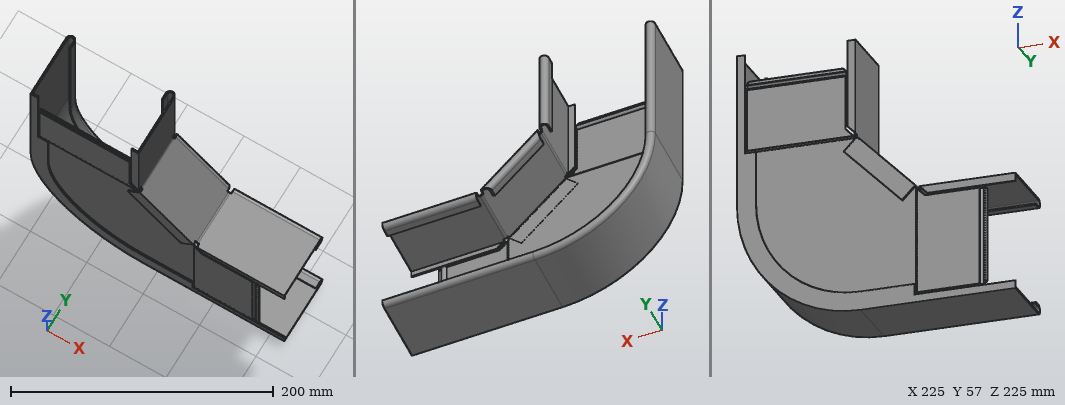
import cadquery as cq
import math


TRAY_LENGTH = 225.0
TRAY_HEIGHT = 57.0
TRAY_WIDTH = 95.8
SHEET = 1.4
PLATE_SHEET = 1.0
ELBOW_RADIUS = 100.0

CURL_RADIUS = 3.8
LIP_DEPTH = 10.0
LEG_FLANGE = 6.5
ELBOW_FLANGE = 15.3
FLANGE_STEP = 143.3

BEND_POSITION = 145.5
BEND_RADIUS = 1.8
LEG_START = 147.4
DIAGONAL_HALF = 33.3
LIP_SETBACK = 4.7
RELIEF_BOTTOM = 3.5
RELIEF_TOP = 5.6

TONGUE_MARGIN = 8.0
TONGUE_END = 202.5
TONGUE_CORNER = 3.0
JOGGLE_START = 144.0
JOGGLE_LENGTH = 1.4
BEAD_CENTRE = 198.0
BEAD_RADIUS = 1.4
BEAD_DEPTH = 1.8
FLARE_SIZE = 6.5

CURL_CENTRE = TRAY_HEIGHT - CURL_RADIUS
CURL_INNER_RADIUS = CURL_RADIUS - SHEET
FLARE_START = JOGGLE_START + JOGGLE_LENGTH
DIAGONAL_SUM = TRAY_WIDTH + BEND_POSITION
BEND_TURN = math.radians(45)
BEND_SHIFT = SHEET * math.tan(BEND_TURN / 2)
DIAGONAL_SHIFT = SHEET / math.sin(BEND_TURN)
MIRROR_NORMAL = cq.Vector(1, 0, -1)


def wall_profile(origin, inward, flange):
    """Wall cross-section: outline distances run inward from the wall's outer face, and along +Y."""
    plane = cq.Plane(origin=origin, xDir=inward, normal=inward.cross(cq.Vector(0, 1, 0)))
    lip_outside = 2 * CURL_RADIUS
    lip_inside = lip_outside - SHEET
    lip_end = TRAY_HEIGHT - LIP_DEPTH
    return (
        cq.Workplane(plane)
        .moveTo(0, 0)
        .lineTo(0, CURL_CENTRE)
        .threePointArc((CURL_RADIUS, TRAY_HEIGHT), (lip_outside, CURL_CENTRE))
        .lineTo(lip_outside, lip_end)
        .lineTo(lip_inside, lip_end)
        .lineTo(lip_inside, CURL_CENTRE)
        .threePointArc((CURL_RADIUS, CURL_CENTRE + CURL_INNER_RADIUS), (SHEET, CURL_CENTRE))
        .lineTo(SHEET, SHEET)
        .lineTo(flange, SHEET)
        .lineTo(flange, 0)
        .close()
    )


def plan(height):
    """Workplane at the given Y whose local axes are X and Z; a negative extrusion goes along +Y."""
    return cq.Workplane("XZ", origin=(0, height, 0))


def add_mirrored_leg(z_leg):
    """Join a body on the Z leg with its mirror image on the X leg, across the plane X = Z."""
    return z_leg.union(z_leg.mirror(MIRROR_NORMAL))


def make_outer_wall():
    leg_foot = (0, 0, ELBOW_RADIUS)
    inward = cq.Vector(1, 0, 0)
    narrow_leg = wall_profile(leg_foot, inward, LEG_FLANGE).extrude(TRAY_LENGTH - ELBOW_RADIUS)
    wide_leg = wall_profile(leg_foot, inward, ELBOW_FLANGE).extrude(FLANGE_STEP - ELBOW_RADIUS)
    legs = add_mirrored_leg(narrow_leg.union(wide_leg))
    elbow = wall_profile(leg_foot, inward, ELBOW_FLANGE).revolve(90, (ELBOW_RADIUS, 0), (ELBOW_RADIUS, -1))
    return legs.union(elbow)


def bent_strip():
    """Plain bent wall between the two bend reliefs, joining the legs to the diagonal."""
    inner_face = TRAY_WIDTH - SHEET
    inner_bend = BEND_POSITION - BEND_SHIFT
    strip = (
        plan(RELIEF_BOTTOM)
        .polyline([
            (TRAY_WIDTH, TRAY_LENGTH),
            (TRAY_WIDTH, BEND_POSITION),
            (BEND_POSITION, TRAY_WIDTH),
            (TRAY_LENGTH, TRAY_WIDTH),
            (TRAY_LENGTH, inner_face),
            (inner_bend, inner_face),
            (inner_face, inner_bend),
            (inner_face, TRAY_LENGTH),
        ])
        .close()
        .extrude(-(TRAY_HEIGHT - RELIEF_TOP - RELIEF_BOTTOM))
    )
    bends = (
        (TRAY_WIDTH, BEND_POSITION, BEND_RADIUS),
        (inner_face, inner_bend, BEND_RADIUS + SHEET),
    )
    for near, far, radius in bends:
        for x, z in ((near, far), (far, near)):
            corner = cq.selectors.NearestToPointSelector((x, TRAY_HEIGHT / 2, z))
            strip = strip.edges(corner).fillet(radius)
    return strip


def inner_leg():
    """Straight leg along Z with full profile; its floor flange is cut at 45 degrees at the elbow end."""
    inward = cq.Vector(-1, 0, 0)
    leg = wall_profile((TRAY_WIDTH, 0, TRAY_LENGTH), inward, LEG_FLANGE).extrude(TRAY_LENGTH - LEG_START)
    mitre = (
        plan(0)
        .polyline([
            (TRAY_WIDTH, LEG_START),
            (TRAY_WIDTH - LEG_FLANGE, LEG_START + LEG_FLANGE),
            (TRAY_WIDTH - LEG_FLANGE, LEG_START),
        ])
        .close()
        .extrude(-SHEET)
    )
    return leg.cut(mitre)


def diagonal_wall():
    """Straight run at 45 degrees with full profile; its curl slants back at both ends."""
    half_run = DIAGONAL_HALF * math.sin(BEND_TURN)
    start = cq.Vector(DIAGONAL_SUM / 2 - half_run, 0, DIAGONAL_SUM / 2 + half_run)
    inward = cq.Vector(-1, 0, -1).normalized()
    along = cq.Vector(1, 0, -1).normalized()
    diagonal = wall_profile(start, inward, ELBOW_FLANGE).extrude(2 * DIAGONAL_HALF)

    wall_corner = start + inward * SHEET
    lip_corner = start + inward * (2 * CURL_RADIUS)
    lip_end = lip_corner + along * LIP_SETBACK
    slant = (
        plan(TRAY_HEIGHT - LIP_DEPTH)
        .polyline([(point.x, point.z) for point in (wall_corner, lip_corner, lip_end)])
        .close()
        .extrude(-LIP_DEPTH)
    )
    return diagonal.cut(slant).cut(slant.mirror(MIRROR_NORMAL))


def make_inner_wall():
    return bent_strip().union(add_mirrored_leg(inner_leg())).union(diagonal_wall())


def floor_body():
    """Flat floor lying on the elbow flanges, with its outer edge in line with the tongues."""
    arc_radius = ELBOW_RADIUS - TONGUE_MARGIN
    arc_middle = ELBOW_RADIUS - arc_radius * math.sin(BEND_TURN)
    diagonal_end = DIAGONAL_SUM - DIAGONAL_SHIFT - JOGGLE_START
    return (
        plan(SHEET)
        .moveTo(TONGUE_MARGIN, JOGGLE_START)
        .lineTo(TONGUE_MARGIN, ELBOW_RADIUS)
        .threePointArc((arc_middle, arc_middle), (ELBOW_RADIUS, TONGUE_MARGIN))
        .lineTo(JOGGLE_START, TONGUE_MARGIN)
        .lineTo(JOGGLE_START, diagonal_end)
        .lineTo(diagonal_end, JOGGLE_START)
        .close()
        .extrude(-PLATE_SHEET)
    )


def tongue_outline():
    """Plan shape of the tongue on the Z leg, from its root at the floor to its rounded tip."""
    left = TONGUE_MARGIN
    right = TRAY_WIDTH - TONGUE_MARGIN
    root = right + FLARE_SIZE
    return (
        plan(0)
        .polyline([
            (left, JOGGLE_START),
            (root, JOGGLE_START),
            (root, FLARE_START),
            (right, FLARE_START + FLARE_SIZE),
            (right, TONGUE_END),
            (left, TONGUE_END),
        ])
        .close()
        .extrude(-TRAY_HEIGHT)
        .edges("|Y and >Z")
        .fillet(TONGUE_CORNER)
    )


def tongue():
    """Strip that steps out flush with the leg flanges, with a half-round bead pressed up near its tip."""
    ridge_half_width = BEAD_RADIUS + PLATE_SHEET
    arc_height = BEAD_DEPTH - BEAD_RADIUS
    side = (
        cq.Workplane("YZ")
        .moveTo(SHEET, JOGGLE_START)
        .lineTo(0, FLARE_START)
        .lineTo(0, BEAD_CENTRE - BEAD_RADIUS)
        .lineTo(arc_height, BEAD_CENTRE - BEAD_RADIUS)
        .threePointArc((BEAD_DEPTH, BEAD_CENTRE), (arc_height, BEAD_CENTRE + BEAD_RADIUS))
        .lineTo(0, BEAD_CENTRE + BEAD_RADIUS)
        .lineTo(0, TONGUE_END)
        .lineTo(PLATE_SHEET, TONGUE_END)
        .lineTo(PLATE_SHEET, BEAD_CENTRE + ridge_half_width)
        .threePointArc((BEAD_DEPTH + PLATE_SHEET, BEAD_CENTRE), (PLATE_SHEET, BEAD_CENTRE - ridge_half_width))
        .lineTo(PLATE_SHEET, FLARE_START)
        .lineTo(SHEET + PLATE_SHEET, JOGGLE_START)
        .close()
        .extrude(TRAY_WIDTH)
    )
    return side.intersect(tongue_outline())


def make_floor_plate():
    return floor_body().union(add_mirrored_leg(tongue()))


outer_wall = make_outer_wall()
inner_wall = make_inner_wall()
floor_plate = make_floor_plate()

result = cq.Compound.makeCompound([
    outer_wall.solids().val(),
    inner_wall.solids().val(),
    floor_plate.solids().val(),
])